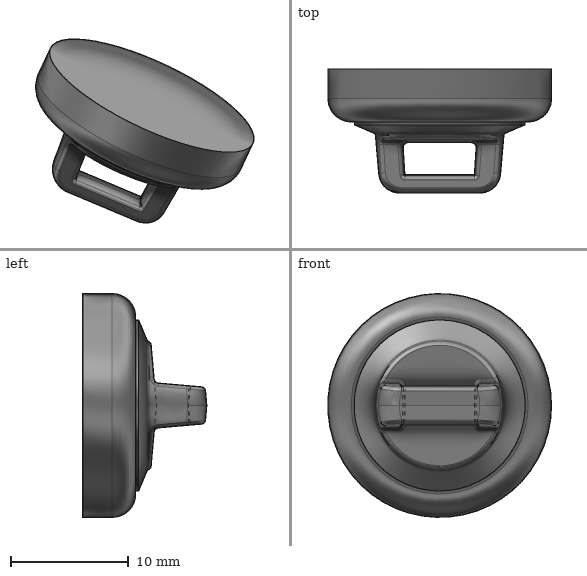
import cadquery as cq
import math


CUP_RADIUS = 9.5
CUP_DEPTH = 4.5
CUP_EDGE_RADIUS = 2.0

COLLAR_RADIUS = 7.25
COLLAR_RIM_DEPTH = 4.75
COLLAR_SLOPE = 23.0
COLLAR_FRONT_RADIUS = 5.03

DRAFT_ANGLE = 5.0
DRAFT_SLOPE = math.tan(math.radians(DRAFT_ANGLE))
BOSS_FOOT_RADIUS = 5.47
BOSS_DEPTH = 6.27
TOTAL_DEPTH = 10.54
LOOP_FOOT_THICKNESS = 3.84
LOOP_CORNER_RADIUS = 1.79

WINDOW_FOOT_WIDTH = 6.23
WINDOW_FRONT_WIDTH = 5.89
WINDOW_FRONT_DEPTH = 8.98

HANDLE_FILLET = 0.4
WINDOW_FILLET = 0.3
BOSS_FOOT_FILLET = 0.2

CLEARANCE = 0.19
TOLERANCE = 0.002


def revolve_about_y(half_outline):
    return cq.Workplane("XY").polyline(half_outline).close().revolve(360, (0, 0), (0, 1))


def extrude_along_x(outline):
    return cq.Workplane("YZ").polyline(outline).close().extrude(CUP_RADIUS, both=True)


def select_edges(body, wanted):
    return body.newObject([edge for edge in body.edges().vals() if wanted(edge)])


def touches_parting_plane(edge):
    return min(abs(edge.startPoint().z), abs(edge.endPoint().z)) < TOLERANCE


def make_cup():
    disc = cq.Workplane("XZ").circle(CUP_RADIUS).extrude(CUP_DEPTH)
    return disc.faces("<Y").edges().fillet(CUP_EDGE_RADIUS)


def collar_cone_depth(radius):
    return COLLAR_RIM_DEPTH + (COLLAR_RADIUS - radius) * math.tan(math.radians(COLLAR_SLOPE))


def make_collar():
    """Disc with a conical front; the inner end of the cone is buried in the boss."""
    front = collar_cone_depth(COLLAR_FRONT_RADIUS)
    return revolve_about_y([
        (0, -CUP_DEPTH),
        (COLLAR_RADIUS, -CUP_DEPTH),
        (COLLAR_RADIUS, -COLLAR_RIM_DEPTH),
        (COLLAR_FRONT_RADIUS, -front),
        (0, -front),
    ])


def side_radius(depth):
    return BOSS_FOOT_RADIUS - (depth - collar_cone_depth(BOSS_FOOT_RADIUS)) * DRAFT_SLOPE


def make_round_side():
    """Solid cone whose side bounds both the boss and the outside of the loop."""
    front = TOTAL_DEPTH + CLEARANCE
    cone = revolve_about_y([
        (0, -CUP_DEPTH),
        (side_radius(CUP_DEPTH), -CUP_DEPTH),
        (side_radius(front), -front),
        (0, -front),
    ])
    return cone.rotate((0, 0, 0), (0, 1, 0), 90)


def make_ridged_block(depth):
    """Block whose front falls away by the draft angle on both sides of the parting plane."""
    edge_depth = depth - CUP_RADIUS * DRAFT_SLOPE
    return extrude_along_x([
        (0, CUP_RADIUS),
        (-edge_depth, CUP_RADIUS),
        (-depth, 0),
        (-edge_depth, -CUP_RADIUS),
        (0, -CUP_RADIUS),
    ])


def loop_half_thickness(depth):
    return LOOP_FOOT_THICKNESS / 2 - (depth - BOSS_DEPTH) * DRAFT_SLOPE


def make_loop_slab():
    back_half = loop_half_thickness(CUP_DEPTH)
    front = TOTAL_DEPTH + CLEARANCE
    front_half = loop_half_thickness(front)
    slab = extrude_along_x([
        (-CUP_DEPTH, back_half),
        (-front, front_half),
        (-front, -front_half),
        (-CUP_DEPTH, -back_half),
    ])
    return slab.intersect(make_ridged_block(TOTAL_DEPTH))


def make_window():
    """Tapered opening that widens away from the parting plane; its back end lies inside the boss."""
    widening = (WINDOW_FOOT_WIDTH - WINDOW_FRONT_WIDTH) / (WINDOW_FRONT_DEPTH - BOSS_DEPTH)
    back = CUP_DEPTH + CLEARANCE
    back_half_width = (WINDOW_FRONT_WIDTH + widening * (WINDOW_FRONT_DEPTH - back)) / 2
    front_half_width = WINDOW_FRONT_WIDTH / 2
    outline = cq.Workplane("XY").polyline([
        (-back_half_width, -back),
        (-front_half_width, -WINDOW_FRONT_DEPTH),
        (front_half_width, -WINDOW_FRONT_DEPTH),
        (back_half_width, -back),
    ]).close()
    upper_half = outline.extrude(LOOP_FOOT_THICKNESS, taper=-DRAFT_ANGLE)
    return upper_half.union(upper_half.mirror("XY"))


def make_loop():
    """Slab pierced by the window, with the rims of the window rounded."""
    loop = make_loop_slab().cut(make_window())

    def is_window_rim(edge):
        middle = edge.Center()
        in_length = abs(middle.x) < COLLAR_RADIUS
        in_depth = CUP_DEPTH + CLEARANCE < -middle.y < TOTAL_DEPTH - CLEARANCE
        return in_length and in_depth and not touches_parting_plane(edge)

    return select_edges(loop, is_window_rim).fillet(WINDOW_FILLET)


def round_loop_corners(stem):
    def is_corner(edge):
        middle = edge.Center()
        on_front = -middle.y > WINDOW_FRONT_DEPTH
        on_round_side = abs(middle.x) > WINDOW_FOOT_WIDTH / 2
        return on_front and on_round_side and touches_parting_plane(edge)

    return select_edges(stem, is_corner).fillet(LOOP_CORNER_RADIUS)


def round_stem_edges(stem):
    """Fillet the flanks and feet of the loop and the rim of the boss."""
    def is_window_foot(edge):
        middle = edge.Center()
        on_window_side = WINDOW_FRONT_WIDTH < 2 * abs(middle.x) < WINDOW_FOOT_WIDTH + 2 * CLEARANCE
        return on_window_side and -middle.y < BOSS_DEPTH - TOLERANCE

    def touches_back(edge):
        return min(-edge.startPoint().y, -edge.endPoint().y) < CUP_DEPTH + TOLERANCE

    def is_rounded(edge):
        if touches_back(edge):
            return False
        return is_window_foot(edge) or not touches_parting_plane(edge)

    return select_edges(stem, is_rounded).fillet(HANDLE_FILLET)


def make_stem():
    blank = make_loop().union(make_ridged_block(BOSS_DEPTH))
    stem = make_round_side().intersect(blank)
    return round_stem_edges(round_loop_corners(stem))


def round_boss_foot(handle):
    """Blend the side of the boss into the conical front of the collar."""
    def lies_on_cone(point):
        cone_depth = collar_cone_depth(math.hypot(point.x, point.z))
        return abs(point.y + cone_depth) < TOLERANCE

    def is_boss_foot(edge):
        middle = edge.positionAt(0.5)
        near_boss = math.hypot(middle.x, middle.z) < BOSS_FOOT_RADIUS + CLEARANCE
        return near_boss and edge.geomType() != "LINE" and lies_on_cone(middle)

    return select_edges(handle, is_boss_foot).fillet(BOSS_FOOT_FILLET)


def make_handle():
    return round_boss_foot(make_collar().union(make_stem()))


cup = make_cup()
handle = make_handle()
result = cq.Compound.makeCompound([cup.val(), handle.val()])